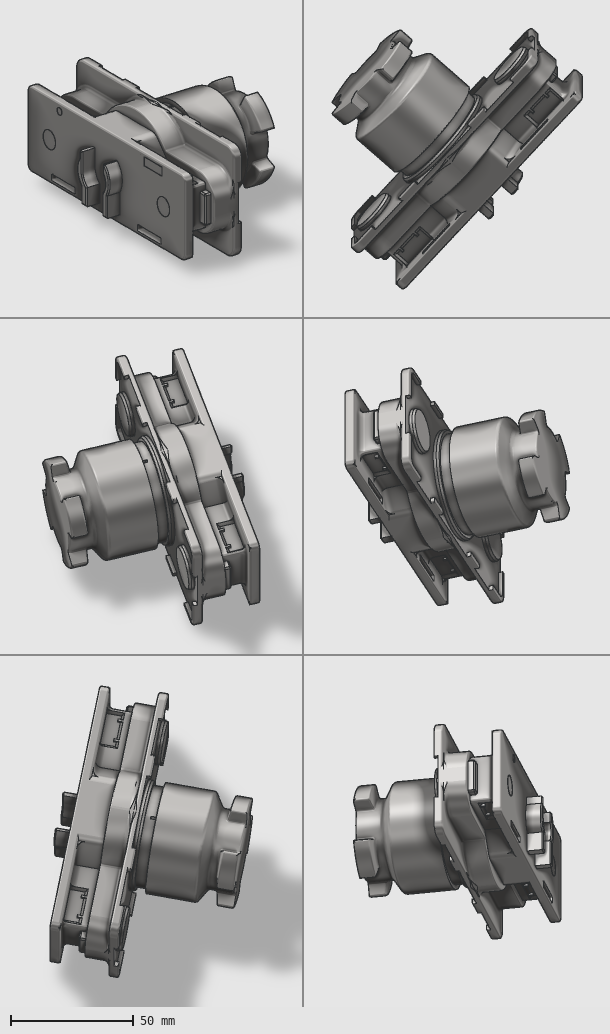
import cadquery as cq
import math

PRONG_TIP_Y = -6.7
PLATE_BACK_Y = 4.3
BODY_FRONT_Y = 14.6
FLANGE_FRONT_Y = 24.5
FLANGE_BACK_Y = 26.8
RIM_BACK_Y = 28.6
SEAT_BACK_Y = 29.3
BARREL_FRONT_Y = 33.9
SHOULDER_FRONT_Y = 54.8
SHOULDER_BACK_Y = 58.7
LUG_ROOT_Y = 62.0
LUG_FRONT_Y = 63.1
KNOB_BACK_Y = 70.1

FLANGE_LENGTH = 110.0
FLANGE_HEIGHT = 50.0
FLANGE_CORNER_RADIUS = 5.0
FLANGE_EDGE_RADIUS = 1.0
BODY_HALF_HEIGHT = 14.0
BODY_CORNER_RADIUS = 10.9
BODY_DISC_RADIUS = FLANGE_HEIGHT / 2
BODY_DISC_FLAT = 1.0
BODY_ROOT_RADIUS = 1.6
BODY_NOTCH_RADIUS = 1.6
BODY_EDGE_RADIUS = 0.7

RIM_WIDTH = 2.2
CORNER_BLOCK_LENGTH = 13.0
CORNER_BLOCK_START_Z = 9.2
MIDDLE_BLOCK_START_X = 16.2
MIDDLE_BLOCK_END_X = 26.0
PAD_X = 41.8
PAD_RADIUS = 9.4
SEAT_RADIUS = 23.1
SEAT_EDGE_HEIGHT = 1.1
SEAT_EDGE_INSET = 0.5
RIM_EDGE_RADIUS = 0.8

LUG_EDGE_RADIUS = 0.9
BARREL_NECK_RADIUS = 21.1
BARREL_RADIUS = 23.1
KNOB_RADIUS = 16.8
KNOB_EDGE_RADIUS = LUG_EDGE_RADIUS
SHOULDER_RADIUS = 1.6
LUG_RADIUS = 22.9
LUG_COUNT = 4
LUG_SPAN_DEG = 44.0
LUG_FLANK_ROOT_RADIUS = 1.0
INDEX_WIDTH = 1.0
INDEX_LENGTH = 2.3
INDEX_DEPTH = 0.4

PLATE_LENGTH = 109.8
PLATE_HEIGHT = 38.7
PLATE_CORNER_RADIUS = 3.0
PLATE_EDGE_RADIUS = 0.9
PLATE_SLOT_X = 29.8
PLATE_SLOT_Z = -16.3
PLATE_SLOT_LENGTH = 16.4
PLATE_SLOT_HEIGHT = 3.0
PLATE_SLOT_CORNER_RADIUS = 0.7
MARK_DEPTH = 0.1
LARGE_MARK_X = 39.6
LARGE_MARK_RADIUS = 4.3
SMALL_MARK_CENTER = (-32.6, 15.5)
SMALL_MARK_RADIUS = 1.6
LABEL_CENTER = (32.5, 15.4)
LABEL_SIZE = (12.3, 4.1)

NECK_HALF_LENGTH = 49.0
NECK_HALF_HEIGHT = 10.5
NECK_CORNER_RADIUS = 1.3
NECK_SHOULDER_X = 14.0
NECK_SHOULDER_RADIUS = 4.8
NECK_FOOT_X = 22.1
NECK_ROOT_RADIUS = 2.5
END_TAB_REACH = 3.7
END_TAB_HALF_HEIGHT = 7.2
END_TAB_FRONT_Y = 11.7
END_TAB_EDGE = 0.7

RECESS_X = 39.6
RECESS_LENGTH = 16.0
RECESS_BACK_Y = 11.7
RECESS_DEPTH = 1.1
RECESS_RIB_WIDTH = 1.0
RECESS_RIB_REACH = 2.2
RECESS_RIB_SPACING = 8.9

PRONG_EDGE = 0.5
PRONG_TOP_Z = 8.5
PRONG_BOTTOM_Z = -15.2
LEFT_TOP_X = (-9.5, -7.8)
LEFT_FOOT_X = (-8.2, -4.5)
LEFT_BULGE_X = -11.2
LEFT_BULGE_Z = (-7.3, 5.2)
LEFT_BEND_MIDDLE = (-6.9, -3.5)
LEFT_BEND_END_Z = -6.5
RIGHT_TOP_X = (6.7, 7.7)
RIGHT_FOOT_X = (6.4, 9.5)
RIGHT_BULGE_X = (8.2, 11.1)
RIGHT_INNER_BEND_Z = (-4.5, 4.0)
RIGHT_OUTER_BEND_END_Z = -5.0

RADIUS_TOLERANCE = 0.01
OVERLAP = 1.1
OVERSIZE = 22.0


def section_at(y):
    """Plane across the Y axis, with local x along X and local y along Z."""
    return cq.Workplane("XZ", origin=(0, y, 0))


def block(x_range, y_range, z_range):
    low, high = zip(x_range, y_range, z_range)
    size = [b - a for a, b in zip(low, high)]
    return cq.Workplane("XY").box(*size, centered=False).translate(low)


def rounded_plate(length, height, corner, y_front, y_back):
    plate = section_at(y_front).rect(length, height).extrude(y_front - y_back)
    return plate.edges("|Y").fillet(corner)


def mirrored_x(shape):
    return shape.union(shape.mirror("YZ"))


def mirrored_xz(shape):
    half = mirrored_x(shape)
    return half.union(half.mirror("XY"))


def rooted_on_slab(column, length, height, y_root, y_outer, radius):
    """Join a column to a slab larger than length by height and fillet the edges where they meet."""
    slab = section_at(y_root).rect(length + OVERSIZE, height + OVERSIZE).extrude(y_root - y_outer)
    reach_x = length / 2 + OVERSIZE / 4
    reach_z = height / 2 + OVERSIZE / 4
    reach_y = radius / 4
    root = cq.selectors.BoxSelector(
        (-reach_x, y_root - reach_y, -reach_z), (reach_x, y_root + reach_y, reach_z), boundingbox=True
    )
    return column.union(slab).edges(root).fillet(radius)


def make_body():
    """Flange with a long rounded body and a central disc under it, flat across its middle."""
    y_back = FLANGE_FRONT_Y + OVERLAP
    body = rounded_plate(FLANGE_LENGTH, 2 * BODY_HALF_HEIGHT, BODY_CORNER_RADIUS, BODY_FRONT_Y, y_back)
    disc = section_at(BODY_FRONT_Y).slot2D(BODY_DISC_FLAT + 2 * BODY_DISC_RADIUS, 2 * BODY_DISC_RADIUS)
    disc = disc.extrude(BODY_FRONT_Y - y_back)
    notch_x = BODY_DISC_FLAT / 2 + math.sqrt(BODY_DISC_RADIUS**2 - BODY_HALF_HEIGHT**2)
    notches = cq.selectors.BoxSelector(
        (-notch_x - OVERLAP, BODY_FRONT_Y, -BODY_HALF_HEIGHT - OVERLAP),
        (notch_x + OVERLAP, y_back, BODY_HALF_HEIGHT + OVERLAP),
    )
    column = body.union(disc).edges("|Y").edges(notches).fillet(BODY_NOTCH_RADIUS)
    column = column.faces("<Y").edges().fillet(BODY_EDGE_RADIUS)
    rooted = rooted_on_slab(
        column, FLANGE_LENGTH, FLANGE_HEIGHT, FLANGE_FRONT_Y, FLANGE_BACK_Y, BODY_ROOT_RADIUS
    )
    outline = rounded_plate(
        FLANGE_LENGTH, FLANGE_HEIGHT, FLANGE_CORNER_RADIUS, BODY_FRONT_Y, FLANGE_FRONT_Y
    )
    full_outline = rounded_plate(
        FLANGE_LENGTH, FLANGE_HEIGHT, FLANGE_CORNER_RADIUS, BODY_FRONT_Y, FLANGE_BACK_Y
    )
    flange = rounded_plate(
        FLANGE_LENGTH, FLANGE_HEIGHT, FLANGE_CORNER_RADIUS, FLANGE_FRONT_Y, FLANGE_BACK_Y
    )
    flange = flange.faces("<Y").edges().fillet(FLANGE_EDGE_RADIUS)
    upright = column.intersect(full_outline)
    return rooted.intersect(outline).union(upright).union(flange)


def make_rim():
    """Raised blocks along the flange edge: one around each corner, two on each long side."""
    rim = rounded_plate(FLANGE_LENGTH, FLANGE_HEIGHT, FLANGE_CORNER_RADIUS, FLANGE_BACK_Y, RIM_BACK_Y)
    inside = rounded_plate(
        FLANGE_LENGTH - 2 * RIM_WIDTH,
        FLANGE_HEIGHT - 2 * RIM_WIDTH,
        FLANGE_CORNER_RADIUS - RIM_WIDTH,
        FLANGE_BACK_Y,
        RIM_BACK_Y,
    )
    y_range = (FLANGE_BACK_Y, RIM_BACK_Y)
    half_length = FLANGE_LENGTH / 2
    half_height = FLANGE_HEIGHT / 2
    corner = block(
        (half_length - CORNER_BLOCK_LENGTH, half_length), y_range, (CORNER_BLOCK_START_Z, half_height)
    )
    middle = block((MIDDLE_BLOCK_START_X, MIDDLE_BLOCK_END_X), y_range, (0, half_height))
    middle = middle.edges(">X and >Z").fillet(RIM_EDGE_RADIUS)
    rim = rim.faces(">Y").edges().fillet(RIM_EDGE_RADIUS)
    return rim.cut(inside).intersect(mirrored_xz(corner.union(middle)))


def make_pads():
    pad = section_at(FLANGE_BACK_Y).center(PAD_X, 0).circle(PAD_RADIUS)
    pad = pad.extrude(FLANGE_BACK_Y - SEAT_BACK_Y)
    return mirrored_x(pad.faces(">Y").edges().chamfer(SEAT_EDGE_HEIGHT, SEAT_EDGE_INSET))


def make_barrel():
    """Seat, neck, barrel, sloping shoulder and knob core turned about Y."""
    profile = (
        cq.Workplane("XY")
        .moveTo(0, FLANGE_BACK_Y)
        .lineTo(SEAT_RADIUS, FLANGE_BACK_Y)
        .lineTo(SEAT_RADIUS, SEAT_BACK_Y - SEAT_EDGE_HEIGHT)
        .lineTo(SEAT_RADIUS - SEAT_EDGE_INSET, SEAT_BACK_Y)
        .lineTo(BARREL_NECK_RADIUS, SEAT_BACK_Y)
        .lineTo(BARREL_NECK_RADIUS, BARREL_FRONT_Y)
        .lineTo(BARREL_RADIUS, BARREL_FRONT_Y)
        .lineTo(BARREL_RADIUS, SHOULDER_FRONT_Y)
        .lineTo(KNOB_RADIUS, SHOULDER_BACK_Y)
        .lineTo(KNOB_RADIUS, KNOB_BACK_Y)
        .lineTo(0, KNOB_BACK_Y)
        .close()
    )
    barrel = profile.revolve(360, (0, 0, 0), (0, 1, 0))
    barrel = barrel.faces(">Y").edges().fillet(KNOB_EDGE_RADIUS)
    shoulder = cq.selectors.BoxSelector(
        (-BARREL_RADIUS, SHOULDER_FRONT_Y - OVERLAP, -BARREL_RADIUS),
        (BARREL_RADIUS, SHOULDER_BACK_Y + OVERLAP, BARREL_RADIUS),
    )
    barrel = barrel.edges("%CIRCLE").edges(shoulder).fillet(SHOULDER_RADIUS)
    index = block(
        (-INDEX_WIDTH / 2, INDEX_WIDTH / 2),
        (BARREL_FRONT_Y - INDEX_LENGTH, BARREL_FRONT_Y),
        (BARREL_NECK_RADIUS - INDEX_DEPTH, BARREL_RADIUS),
    )
    return barrel.cut(index)


def make_lug():
    """One grip lug of the knob, centred on +X."""
    inner = KNOB_RADIUS - OVERLAP
    lug = (
        cq.Workplane("XY")
        .moveTo(inner, LUG_ROOT_Y)
        .lineTo(KNOB_RADIUS, LUG_ROOT_Y)
        .lineTo(LUG_RADIUS, LUG_FRONT_Y)
        .lineTo(LUG_RADIUS, KNOB_BACK_Y)
        .lineTo(inner, KNOB_BACK_Y)
        .close()
        .revolve(LUG_SPAN_DEG, (0, 0, 0), (0, 1, 0))
        .rotate((0, 0, 0), (0, 1, 0), -LUG_SPAN_DEG / 2)
    )
    rim = cq.selectors.BoxSelector(
        (KNOB_RADIUS + OVERLAP, LUG_ROOT_Y, -LUG_RADIUS), (LUG_RADIUS, KNOB_BACK_Y + OVERLAP, LUG_RADIUS)
    )
    return lug.edges(rim).fillet(LUG_EDGE_RADIUS)


def is_flank_root(edge):
    """True for the straight edges where the lug flanks meet the knob core."""
    center = edge.Center()
    on_core = abs(math.hypot(center.x, center.z) - KNOB_RADIUS) < RADIUS_TOLERANCE
    return on_core and center.y > (LUG_ROOT_Y + KNOB_BACK_Y) / 2


def make_knob():
    """Barrel with its grip lugs spread between the X and Z axes."""
    knob = make_barrel()
    pitch = 360 / LUG_COUNT
    lug = make_lug()
    for turn in range(LUG_COUNT):
        knob = knob.union(lug.rotate((0, 0, 0), (0, 1, 0), (turn + 0.5) * pitch))
    flank_roots = knob.edges("|Y").filter(is_flank_root)
    return flank_roots.fillet(LUG_FLANK_ROOT_RADIUS)


def make_neck():
    """Neck with a tall middle and sloping shoulders, blended into the mounting plate."""
    low = block(
        (-NECK_HALF_LENGTH, NECK_HALF_LENGTH),
        (PLATE_EDGE_RADIUS, BODY_FRONT_Y),
        (-NECK_HALF_HEIGHT, NECK_HALF_HEIGHT),
    )
    low = low.edges("|Y").fillet(NECK_CORNER_RADIUS)
    top = PLATE_HEIGHT / 2
    slope = (NECK_FOOT_X - NECK_SHOULDER_X) / (top - NECK_HALF_HEIGHT)
    point_x = NECK_SHOULDER_X + slope * top
    outline = [
        (-point_x, 0),
        (-NECK_SHOULDER_X, top),
        (NECK_SHOULDER_X, top),
        (point_x, 0),
        (NECK_SHOULDER_X, -top),
        (-NECK_SHOULDER_X, -top),
    ]
    tall = section_at(PLATE_EDGE_RADIUS).polyline(outline).close()
    tall = tall.extrude(PLATE_EDGE_RADIUS - BODY_FRONT_Y)
    tall = tall.edges("|Y").edges(">Z or <Z").fillet(NECK_SHOULDER_RADIUS)
    neck = low.union(tall)
    rooted = rooted_on_slab(neck, PLATE_LENGTH, PLATE_HEIGHT, PLATE_BACK_Y, 0, NECK_ROOT_RADIUS)
    envelope = section_at(PLATE_EDGE_RADIUS)
    envelope = envelope.rect(PLATE_LENGTH - 2 * PLATE_EDGE_RADIUS, PLATE_HEIGHT - 2 * PLATE_EDGE_RADIUS)
    envelope = envelope.extrude(PLATE_EDGE_RADIUS - BODY_FRONT_Y)
    return rooted.intersect(envelope).union(neck)


def make_end_tabs():
    reach = NECK_HALF_LENGTH + END_TAB_REACH
    tab = block(
        (-reach, reach), (END_TAB_FRONT_Y, BODY_FRONT_Y), (-END_TAB_HALF_HEIGHT, END_TAB_HALF_HEIGHT)
    )
    tab = tab.edges("|Y").chamfer(END_TAB_EDGE)
    return tab.faces("<Y").edges().chamfer(END_TAB_EDGE)


def make_recess():
    """Cutter for one sloped-wall recess, open toward the plate, with two ribs on its back wall."""
    y_front = PLATE_BACK_Y - PLATE_EDGE_RADIUS
    depth_y = RECESS_BACK_Y - y_front
    floor_z = NECK_HALF_HEIGHT - RECESS_DEPTH
    slopes = (
        cq.Workplane("XY", origin=(RECESS_X, y_front, NECK_HALF_HEIGHT))
        .rect(RECESS_LENGTH, 2 * depth_y)
        .workplane(offset=-RECESS_DEPTH)
        .rect(RECESS_LENGTH - 2 * RECESS_DEPTH, 2 * (depth_y - RECESS_DEPTH))
        .loft(combine=True)
    )
    x_range = (RECESS_X - RECESS_LENGTH / 2, RECESS_X + RECESS_LENGTH / 2)
    y_range = (y_front, RECESS_BACK_Y)
    above = block(x_range, y_range, (NECK_HALF_HEIGHT, PLATE_HEIGHT / 2))
    recess = slopes.intersect(block(x_range, y_range, (floor_z, NECK_HALF_HEIGHT))).union(above)
    for side in (-1, 1):
        rib_x = RECESS_X + side * RECESS_RIB_SPACING / 2
        rib = block(
            (rib_x - RECESS_RIB_WIDTH / 2, rib_x + RECESS_RIB_WIDTH / 2),
            (RECESS_BACK_Y - RECESS_RIB_REACH, RECESS_BACK_Y),
            (floor_z, NECK_HALF_HEIGHT),
        )
        recess = recess.cut(rib)
    return recess


def make_plate():
    plate = rounded_plate(PLATE_LENGTH, PLATE_HEIGHT, PLATE_CORNER_RADIUS, 0, PLATE_BACK_Y)
    return plate.faces("<Y or >Y").edges().fillet(PLATE_EDGE_RADIUS)


def make_plate_slots():
    slot = section_at(0).center(PLATE_SLOT_X, PLATE_SLOT_Z)
    slot = slot.rect(PLATE_SLOT_LENGTH, PLATE_SLOT_HEIGHT).extrude(-PLATE_BACK_Y)
    return mirrored_x(slot.edges("|Y").fillet(PLATE_SLOT_CORNER_RADIUS))


def make_plate_marks():
    """Shallow round and rectangular imprints in the outer face of the plate."""
    centers = [(-LARGE_MARK_X, 0), (LARGE_MARK_X, 0)]
    large = section_at(0).pushPoints(centers).circle(LARGE_MARK_RADIUS).extrude(-MARK_DEPTH)
    small = section_at(0).center(*SMALL_MARK_CENTER).circle(SMALL_MARK_RADIUS).extrude(-MARK_DEPTH)
    label = section_at(0).center(*LABEL_CENTER).rect(*LABEL_SIZE).extrude(-MARK_DEPTH)
    return large.union(small).union(label)


def make_prongs():
    """Two bent contact prongs standing out of the plate."""
    left = (
        section_at(OVERLAP)
        .moveTo(LEFT_TOP_X[0], PRONG_TOP_Z)
        .lineTo(LEFT_TOP_X[1], PRONG_TOP_Z)
        .lineTo(LEFT_TOP_X[1], 0)
        .threePointArc(LEFT_BEND_MIDDLE, (LEFT_FOOT_X[1], LEFT_BEND_END_Z))
        .lineTo(LEFT_FOOT_X[1], PRONG_BOTTOM_Z)
        .lineTo(LEFT_FOOT_X[0], PRONG_BOTTOM_Z)
        .lineTo(LEFT_FOOT_X[0], LEFT_BULGE_Z[0])
        .threePointArc((LEFT_BULGE_X, 0), (LEFT_TOP_X[0], LEFT_BULGE_Z[1]))
        .close()
    )
    right = (
        section_at(OVERLAP)
        .moveTo(RIGHT_TOP_X[0], PRONG_TOP_Z)
        .lineTo(RIGHT_TOP_X[1], PRONG_TOP_Z)
        .threePointArc((RIGHT_BULGE_X[1], 0), (RIGHT_FOOT_X[1], RIGHT_OUTER_BEND_END_Z))
        .lineTo(RIGHT_FOOT_X[1], PRONG_BOTTOM_Z)
        .lineTo(RIGHT_FOOT_X[0], PRONG_BOTTOM_Z)
        .lineTo(RIGHT_FOOT_X[0], RIGHT_INNER_BEND_Z[0])
        .threePointArc((RIGHT_BULGE_X[0], 0), (RIGHT_TOP_X[0], RIGHT_INNER_BEND_Z[1]))
        .close()
    )
    prongs = [outline.extrude(OVERLAP - PRONG_TIP_Y) for outline in (left, right)]
    return prongs[0].union(prongs[1]).faces("<Y").edges().chamfer(PRONG_EDGE)


neck = make_neck().cut(mirrored_xz(make_recess()))
result = (
    make_body()
    .union(make_rim())
    .union(make_pads())
    .union(make_knob())
    .union(neck)
    .union(make_end_tabs())
    .union(make_plate())
    .cut(make_plate_slots())
    .cut(make_plate_marks())
    .union(make_prongs())
)